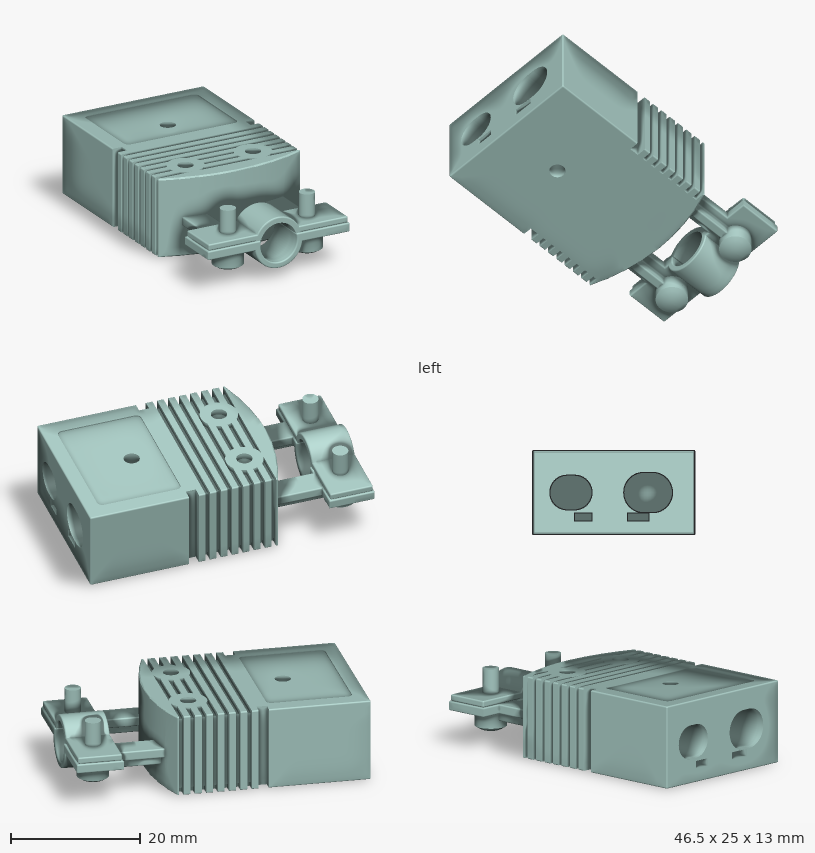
import cadquery as cq
import math

length = 46.45
width = 25.0
height = 13.0
half_width = width / 2
edge_radius = 0.25

housing_side_length = 30.6
housing_length = 33.05

notch_start = 16.1
notch_end = 17.75
notch_depth = 1.6

groove_count = 7
groove_first = 18.8
groove_last = 29.6
groove_pitch = (groove_last - groove_first) / (groove_count - 1)
groove_width = 0.75
groove_side_depth = 1.05
groove_face_depth = 0.85
bottom_land_inset = 1.6

boss_x = 27.4
boss_offset = 5.95
boss_radius = 2.97
boss_hole_radius = 1.25
boss_hole_depth = 0.98

recess_start = 2.28
recess_length = 13.55
recess_width = 19.85
recess_corner_radius = 0.85
recess_depth = 0.2
assembly_hole_x = 11.1
assembly_hole_radius = 1.25

socket_depth = 15.8
socket_z = height / 2
small_socket = {"center_y": 6.6, "width": 6.5, "height": 5.35}
large_socket = {"center_y": -5.3, "width": 7.53, "height": 6.23}
keyway_bottom = 2.15
keyway_height = 1.2
small_keyway = {"center_y": 4.7, "width": 2.7}
large_keyway = {"center_y": -3.75, "width": 3.3}

clamp_start = 39.03
clamp_length = length - clamp_start
clamp_x = clamp_start + clamp_length / 2
plate_bottom = 5.0
split_z = 6.5
cable_z = 5.58
trough_radius = 4.2
cable_radius = 3.2

arm_start = 30.0
arm_offset = 6.88
arm_width = 4.2

rib_start = 32.1
rib_width = 1.5
rib_bottom = 3.5
rib_root_radius = 0.25
screw_x = 42.7
screw_offset = 6.95
screw_boss_radius = 2.5

upper_inset = 0.25
flange_thickness = 1.0

screw_radius = 1.25
screw_top = 11.45
head_side_bottom = 2.3
head_bottom = 1.5


def box(x_min, x_max, y_min, y_max, z_min, z_max):
    """Box given by its limits along each axis."""
    size = (x_max - x_min, y_max - y_min, z_max - z_min)
    return cq.Workplane("XY").box(*size, centered=False).translate((x_min, y_min, z_min))


def rod_z(x, y, radius, z_min, z_max):
    """Upright cylinder."""
    return cq.Workplane("XY", origin=(x, y, z_min)).circle(radius).extrude(z_max - z_min)


def rod_x(radius, x_min, x_max):
    """Cylinder along the cable axis."""
    return cq.Workplane("YZ", origin=(x_min, 0, cable_z)).circle(radius).extrude(x_max - x_min)


def housing_block():
    """Rounded block whose front end bows outward."""
    block = (
        cq.Workplane("XY")
        .moveTo(0, -half_width)
        .lineTo(housing_side_length, -half_width)
        .threePointArc((housing_length, 0), (housing_side_length, half_width))
        .lineTo(0, half_width)
        .close()
        .extrude(height)
    )
    return block.edges("<X or >Z or <Z").fillet(edge_radius)


def side_notches():
    """Full-height notches in both sides of the housing."""
    inner = half_width - notch_depth
    right = box(notch_start, notch_end, -half_width, -inner, 0, height)
    left = box(notch_start, notch_end, inner, half_width, 0, height)
    return right.union(left)


def grip_grooves():
    """Grooves around the housing, leaving the two upper bosses and a flat land underneath."""
    core_half = half_width - groove_side_depth
    land_half = half_width - bottom_land_inset
    face_top = height - groove_face_depth
    rings = cq.Workplane("XY")
    for i in range(groove_count):
        start = groove_first + i * groove_pitch
        end = start + groove_width
        ring = box(start, end, -half_width, half_width, 0, height)
        ring = ring.cut(box(start, end, -core_half, core_half, groove_face_depth, face_top))
        ring = ring.cut(box(start, end, -land_half, land_half, 0, groove_face_depth))
        rings = rings.add(ring)
    grooves = rings.combine()
    for side in (-1, 1):
        grooves = grooves.cut(rod_z(boss_x, side * boss_offset, boss_radius, face_top, height))
    return grooves


def boss_holes():
    """Blind holes in the two upper bosses."""
    holes = [
        rod_z(boss_x, side * boss_offset, boss_hole_radius, height - boss_hole_depth, height)
        for side in (-1, 1)
    ]
    return holes[0].union(holes[1])


def label_recess():
    """Shallow rounded rectangle in the top face."""
    recess = box(
        recess_start,
        recess_start + recess_length,
        -recess_width / 2,
        recess_width / 2,
        height - recess_depth,
        height,
    )
    return recess.edges("|Z").fillet(recess_corner_radius)


def socket(opening, keyway):
    """Oblong socket with a rectangular keyway low on one side."""
    oblong = (
        cq.Workplane("YZ", origin=(0, opening["center_y"], socket_z))
        .slot2D(opening["width"], opening["height"])
        .extrude(socket_depth)
    )
    key = box(
        0,
        socket_depth,
        keyway["center_y"] - keyway["width"] / 2,
        keyway["center_y"] + keyway["width"] / 2,
        keyway_bottom,
        keyway_bottom + keyway_height,
    )
    return oblong.union(key)


def make_housing(clamp):
    """Housing with a pocket that matches the ends of the clamp arms."""
    return (
        housing_block()
        .cut(side_notches())
        .cut(grip_grooves())
        .cut(boss_holes())
        .cut(label_recess())
        .cut(rod_z(assembly_hole_x, 0, assembly_hole_radius, 0, height))
        .cut(socket(small_socket, small_keyway))
        .cut(socket(large_socket, large_keyway))
        .cut(clamp)
    )


def clamp_plate_with_arms():
    """Lower plate and its two arms as one flat piece with rounded rims."""
    plate = box(clamp_start, length, -half_width, half_width, plate_bottom, split_z)
    for side in (-1, 1):
        y = side * arm_offset
        arm = box(arm_start, clamp_start, y - arm_width / 2, y + arm_width / 2, plate_bottom, split_z)
        plate = plate.union(arm)
    return plate.faces(">Z or <Z or >X").edges().fillet(edge_radius)


def arm_rib(y):
    """Rib under an arm, flared where it joins the arm and rounded along its lower edges."""
    half = rib_width / 2
    flare = half + rib_root_radius
    root = plate_bottom - rib_root_radius
    foot = rib_bottom + edge_radius
    bulge = rib_root_radius * (1 - math.sqrt(0.5))
    corner = edge_radius * (1 - math.sqrt(0.5))
    return (
        cq.Workplane("YZ", origin=(rib_start, y, 0))
        .moveTo(-flare, plate_bottom)
        .threePointArc((-half - bulge, plate_bottom - bulge), (-half, root))
        .lineTo(-half, foot)
        .threePointArc((-half + corner, rib_bottom + corner), (-half + edge_radius, rib_bottom))
        .lineTo(half - edge_radius, rib_bottom)
        .threePointArc((half - corner, rib_bottom + corner), (half, foot))
        .lineTo(half, root)
        .threePointArc((half + bulge, plate_bottom - bulge), (flare, plate_bottom))
        .close()
        .extrude(screw_x - rib_start)
    )


def bore_lips():
    """Selector for the two straight edges where the cable bore opens into the split plane."""
    margin = 0.05
    return cq.selectors.BoxSelector(
        (clamp_x - clamp_length / 4, -cable_radius, split_z - margin),
        (clamp_x + clamp_length / 4, cable_radius, split_z + margin),
    )


def make_lower_clamp():
    """Lower clamp half: plate, arms, cable trough, ribs and screw bosses."""
    trough = rod_x(trough_radius, clamp_start, length).edges().fillet(edge_radius)
    trough_top = plate_bottom + edge_radius
    trough = trough.intersect(box(clamp_start, length, -half_width, half_width, 0, trough_top))
    clamp = clamp_plate_with_arms().union(trough)
    for side in (-1, 1):
        y = side * screw_offset
        clamp = clamp.union(arm_rib(y))
        clamp = clamp.union(rod_z(screw_x, y, screw_boss_radius, rib_bottom, plate_bottom + edge_radius))
    clamp = clamp.cut(rod_x(cable_radius, clamp_start, length))
    clamp = clamp.edges(bore_lips()).fillet(edge_radius)
    for side in (-1, 1):
        clamp = clamp.cut(rod_z(screw_x, side * screw_offset, screw_radius, 0, height))
    return clamp


def make_upper_clamp():
    """Upper clamp half: flanges with an arch over the cable."""
    start = clamp_start + upper_inset
    end = length - upper_inset
    half = half_width - upper_inset
    flange = box(start, end, -half, half, split_z, split_z + flange_thickness)
    flange = flange.edges().fillet(edge_radius)
    arch = rod_x(trough_radius, start, end).edges().fillet(edge_radius)
    arch = arch.intersect(box(start, end, -half, half, split_z, height))
    clamp = flange.union(arch).cut(rod_x(cable_radius, start, end))
    for side in (-1, 1):
        clamp = clamp.cut(rod_z(screw_x, side * screw_offset, screw_radius, 0, height))
    return clamp


def make_screw(y):
    """Screw with its domed head below the lower clamp."""
    dome_height = head_side_bottom - head_bottom
    dome_radius = (screw_boss_radius**2 + dome_height**2) / (2 * dome_height)
    mid_angle = math.asin(screw_boss_radius / dome_radius) / 2
    dome_mid = (
        dome_radius * math.sin(mid_angle),
        head_bottom + dome_radius * (1 - math.cos(mid_angle)),
    )
    return (
        cq.Workplane("XZ")
        .moveTo(0, head_bottom)
        .threePointArc(dome_mid, (screw_boss_radius, head_side_bottom))
        .lineTo(screw_boss_radius, rib_bottom)
        .lineTo(screw_radius, rib_bottom)
        .lineTo(screw_radius, screw_top)
        .lineTo(0, screw_top)
        .close()
        .revolve(360, (0, 0, 0), (0, 1, 0))
        .translate((screw_x, y, 0))
    )


lower_clamp = make_lower_clamp()
upper_clamp = make_upper_clamp()
housing = make_housing(lower_clamp)
screws = [make_screw(side * screw_offset) for side in (-1, 1)]

result = cq.Compound.makeCompound(
    [housing.val(), lower_clamp.val(), upper_clamp.val(), *[screw.val() for screw in screws]]
)